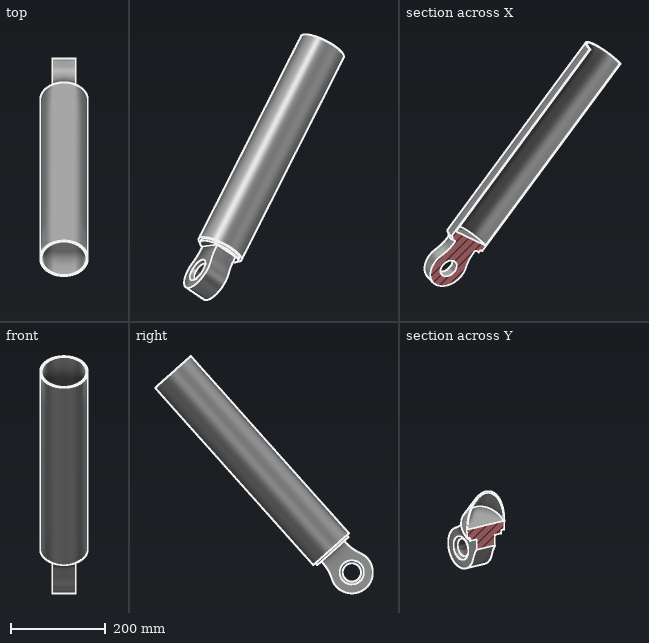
import cadquery as cq
import math

axis_elevation = 48.25

tube_radius = 50.5
tube_wall = 3.5
tube_start = 65.5
tube_length = 502.0
floor_thickness = 15.0

plug_radius = 44.5
plug_projection = 5.5
plug_face = tube_start - plug_projection

eye_radius = 44.5
lug_thickness = 50.0
neck_half_width = 32.5
neck_blend_radius = 88.0

hole_radius = 19.0
hole_chamfer = 6.5


def make_tube():
    """Tube along +Z, closed by a floor at its lower end."""
    outer = cq.Workplane("XY").workplane(offset=tube_start).circle(tube_radius).extrude(tube_length)
    bore = (
        cq.Workplane("XY")
        .workplane(offset=tube_start + floor_thickness)
        .circle(tube_radius - tube_wall)
        .extrude(tube_length - floor_thickness)
    )
    return outer.cut(bore)


def make_plug():
    """Disc that projects below the tube floor."""
    return cq.Workplane("XY").workplane(offset=plug_face).circle(plug_radius).extrude(plug_projection)


def make_lug():
    """Round eye with a neck blended tangentially into it by concave arcs."""
    blend_y = neck_half_width + neck_blend_radius
    blend_distance = eye_radius + neck_blend_radius
    blend_z = math.sqrt(blend_distance**2 - blend_y**2)
    tangent_y = blend_y * eye_radius / blend_distance
    tangent_z = blend_z * eye_radius / blend_distance

    mid_angle = (math.atan2(blend_z, blend_y)) / 2
    mid_y = blend_y - neck_blend_radius * math.cos(mid_angle)
    mid_z = blend_z - neck_blend_radius * math.sin(mid_angle)

    return (
        cq.Workplane("YZ")
        .moveTo(neck_half_width, plug_face)
        .lineTo(neck_half_width, blend_z)
        .threePointArc((mid_y, mid_z), (tangent_y, tangent_z))
        .threePointArc((0, -eye_radius), (-tangent_y, tangent_z))
        .threePointArc((-mid_y, mid_z), (-neck_half_width, blend_z))
        .lineTo(-neck_half_width, plug_face)
        .close()
        .extrude(lug_thickness / 2, both=True)
    )


def drill_pin_hole(lug):
    """Through hole along X, chamfered on both faces of the lug."""
    hole = cq.Workplane("YZ").circle(hole_radius).extrude(lug_thickness / 2, both=True)
    return lug.cut(hole).edges(cq.selectors.RadiusNthSelector(0)).chamfer(hole_chamfer)


lug = drill_pin_hole(make_lug())
upright = make_tube().union(make_plug()).union(lug)
result = upright.rotate((0, 0, 0), (1, 0, 0), 90 - axis_elevation)